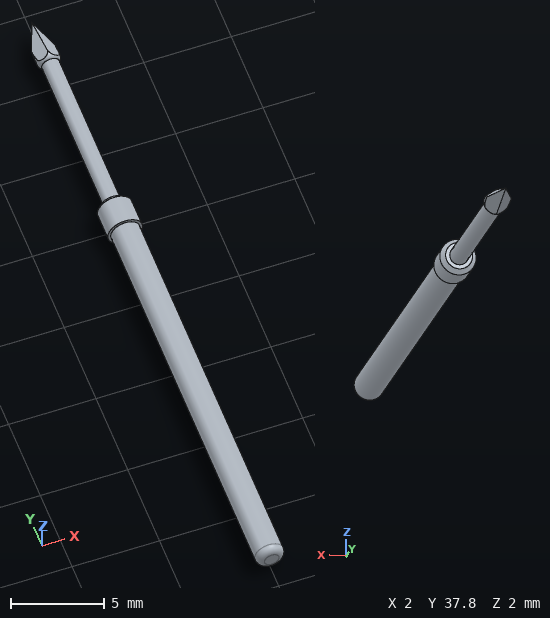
import cadquery as cq

total_length = 37.8
head_length = 3.0
collar_front_depth = 12.8
collar_length = 1.93

collar_diameter = 2.0
body_diameter = 1.65
shaft_diameter = 1.02
head_diameter = 1.35

collar_chamfer = 0.25
body_end_fillet = 0.4
head_back_fillet = 0.35

point_side_slope = 0.37
point_top_slope = 0.27

tip_y = total_length / 2
body_end_y = -total_length / 2
head_back_y = tip_y - head_length
collar_front_y = tip_y - collar_front_depth
collar_back_y = collar_front_y - collar_length


def cylinder(diameter, start_y, end_y):
    """Cylinder about the Y axis from start_y up to end_y."""
    base = cq.Workplane("XZ", origin=(0, start_y, 0))
    return base.circle(diameter / 2).extrude(start_y - end_y)


def make_body():
    """Barrel with a rounded closed end."""
    return cylinder(body_diameter, body_end_y, collar_back_y).faces("<Y").edges().fillet(body_end_fillet)


def make_collar():
    """Stop collar, chamfered on the side of the plunger shaft."""
    return cylinder(collar_diameter, collar_back_y, collar_front_y).faces(">Y").chamfer(collar_chamfer)


def make_point():
    """Diamond-section pyramid with its apex at the tip, as long as the head."""
    half_width = head_length * point_side_slope
    half_height = head_length * point_top_slope
    apex = cq.Vector(0, tip_y, 0)
    corners = [
        cq.Vector(half_width, head_back_y, 0),
        cq.Vector(0, head_back_y, half_height),
        cq.Vector(-half_width, head_back_y, 0),
        cq.Vector(0, head_back_y, -half_height),
    ]
    outlines = [corners]
    for index, corner in enumerate(corners):
        outlines.append([corners[index - 1], corner, apex])
    faces = [cq.Face.makeFromWires(cq.Wire.makePolygon(outline, close=True)) for outline in outlines]
    return cq.Workplane(cq.Solid.makeSolid(cq.Shell.makeShell(faces)))


def make_head():
    """Round head sharpened to a pyramid point, with a rounded back edge."""
    blank = cylinder(head_diameter, head_back_y, tip_y)
    blank = blank.faces("<Y").edges().fillet(head_back_fillet)
    return blank.intersect(make_point())


shaft = cylinder(shaft_diameter, collar_front_y, head_back_y)
result = make_body().union(make_collar()).union(shaft).union(make_head())